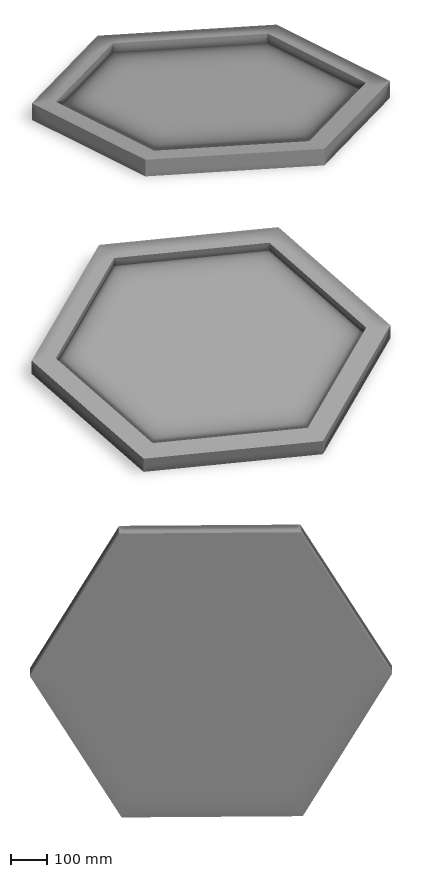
import cadquery as cq

OUTER_WIDTH = 1000.0
OPENING_WIDTH = 865.0
FRAME_HEIGHT = 50.0
RECESS_DEPTH = 30.0
TILT = 0.12

PANEL_THICKNESS = FRAME_HEIGHT - RECESS_DEPTH


def hexagonal_prism(corner_width, height):
    """Upright hexagonal prism standing on Z = 0, with two corners along X."""
    return cq.Workplane("XY").polygon(6, corner_width).extrude(height)


def turned(body):
    """Turn a body about the Z axis by the tray's small tilt."""
    return body.rotate((0, 0, 0), (0, 0, 1), TILT)


def make_frame():
    """Hexagonal rim with an opening right through it."""
    opening = hexagonal_prism(OPENING_WIDTH, FRAME_HEIGHT)
    return turned(hexagonal_prism(OUTER_WIDTH, FRAME_HEIGHT).cut(opening))


def make_panel():
    """Flat floor that fills the lower part of the frame's opening."""
    return turned(hexagonal_prism(OPENING_WIDTH, PANEL_THICKNESS))


frame = make_frame()
panel = make_panel()

result = cq.Compound.makeCompound([frame.val(), panel.val()])